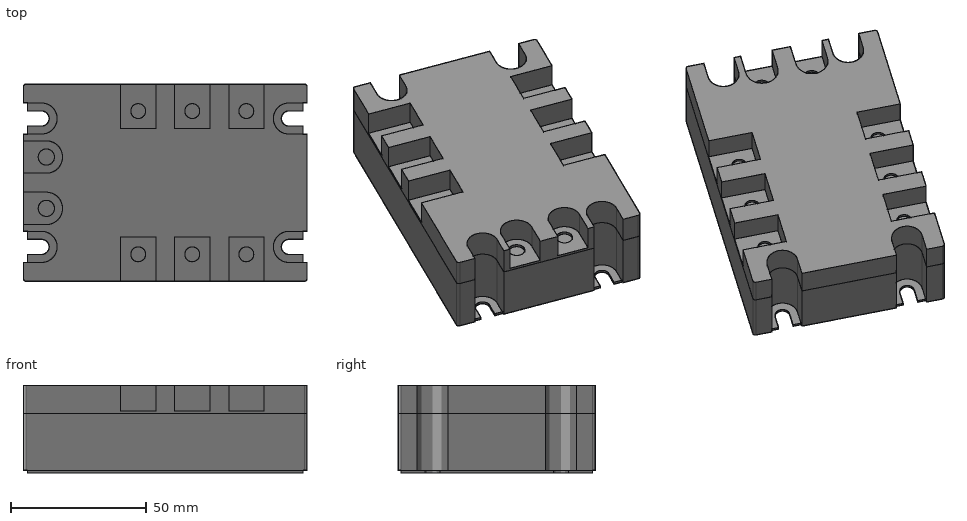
import cadquery as cq

length = 105.0
width = 73.0
height = 32.5
corner_radius = 1.0

plate_thickness = 1.0
cover_thickness = 10.5
cover_bottom = height - cover_thickness

plate_inset_x = 1.5
plate_inset_y = 1.0

slot_centre_x = length / 2 - 6.75
slot_centre_y = 23.75
clearance_slot_width = 11.5
screw_slot_width = 5.5

recess_depth = 9.5
recess_floor = height - recess_depth

power_positions_x = (-10.0, 10.0, 30.0)
power_recess_width = 13.0
power_recess_length = 16.5
power_hole_y = width / 2 - 10.0
power_hole_diameter = 5.5

control_x = -length / 2 + 8.5
control_y = 9.5
control_recess_width = 12.0
control_hole_diameter = 6.0


def block(size_x, size_y, bottom, top):
    """Plain block centred on the Z axis between two levels."""
    return (
        cq.Workplane("XY")
        .workplane(offset=bottom)
        .rect(size_x, size_y)
        .extrude(top - bottom)
    )


def end_slot(x, y, slot_width, bottom, top):
    """Cutter for a slot with its round end centred on (x, y), running out past the nearer X end."""
    outward = 1 if x > 0 else -1
    mouth_x = outward * length
    half = slot_width / 2
    return (
        cq.Workplane("XY")
        .workplane(offset=bottom)
        .moveTo(mouth_x, y - half)
        .lineTo(x, y - half)
        .threePointArc((x - outward * half, y), (x, y + half))
        .lineTo(mouth_x, y + half)
        .close()
        .extrude(top - bottom)
    )


def cut_mounting_slots(body, slot_width, bottom, top):
    """Cut the four mounting slots through a body between two levels."""
    for x in (-slot_centre_x, slot_centre_x):
        for y in (-slot_centre_y, slot_centre_y):
            body = body.cut(end_slot(x, y, slot_width, bottom, top))
    return body


def rounded_block(bottom, top):
    """Layer of the housing with rounded corners and the four clearance slots."""
    body = block(length, width, bottom, top).edges("|Z").fillet(corner_radius)
    return cut_mounting_slots(body, clearance_slot_width, bottom, top)


def terminal_hole(x, y, diameter):
    """Cutter for a screw hole from a recess floor through to the underside of the cover."""
    return (
        cq.Workplane("XY")
        .workplane(offset=cover_bottom)
        .center(x, y)
        .circle(diameter / 2)
        .extrude(recess_floor - cover_bottom)
    )


def make_base():
    """Base block standing on its thinner, inset foot plate."""
    plate = block(length - 2 * plate_inset_x, width - 2 * plate_inset_y, 0, plate_thickness)
    plate = cut_mounting_slots(plate, screw_slot_width, 0, plate_thickness)
    return rounded_block(plate_thickness, cover_bottom).union(plate)


def cut_power_terminal(body, x, side):
    """Cut one rectangular recess, open to the long side, and its screw hole."""
    recess = (
        cq.Workplane("XY")
        .workplane(offset=recess_floor)
        .center(x, side * (width - power_recess_length) / 2)
        .rect(power_recess_width, power_recess_length)
        .extrude(recess_depth)
    )
    hole = terminal_hole(x, side * power_hole_y, power_hole_diameter)
    return body.cut(recess).cut(hole)


def cut_control_terminal(body, y):
    """Cut one round-ended recess, open to the -X end, and its screw hole."""
    recess = end_slot(control_x, y, control_recess_width, recess_floor, height)
    hole = terminal_hole(control_x, y, control_hole_diameter)
    return body.cut(recess).cut(hole)


def make_cover():
    """Cover with terminal recesses, flush with the base all round."""
    body = rounded_block(cover_bottom, height)
    for side in (-1, 1):
        for x in power_positions_x:
            body = cut_power_terminal(body, x, side)
        body = cut_control_terminal(body, side * control_y)
    return body


base = make_base()
cover = make_cover()

result = cq.Compound.makeCompound([base.val(), cover.val()])